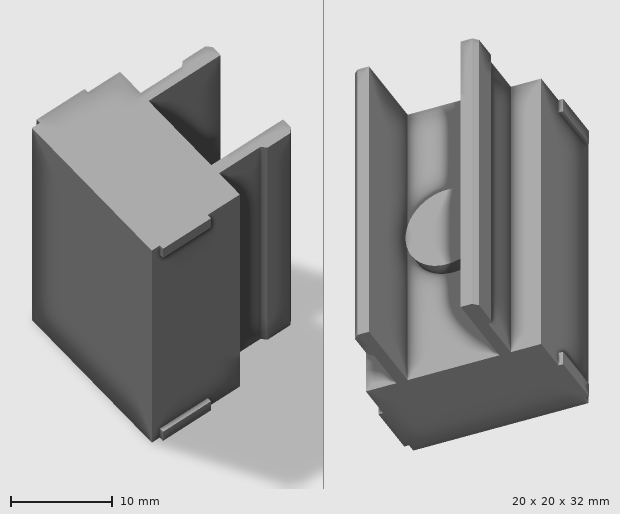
import cadquery as cq

height = 32.0
overall_width = 20.0
overall_depth = 20.0
tab_projection = 0.5
block_width = overall_width - 2 * tab_projection

plate_depth = 1.0
tab_rear = 7.0
block_rear = 11.0
boss_rear = 12.5

tab_height = 1.5
boss_diameter = 9.0

leg_thickness = 1.25
leg_outer_x = 6.2
hook_projection = 0.5
hook_length = 3.85
chamfer = 0.5

root_overlap = 0.32


def make_box(width, front, rear, z_size=height, x=0.0, z=0.0):
    """Box centred at x and z, from depth front to depth rear."""
    return cq.Workplane("XY").box(width, rear - front, z_size).translate((x, (front + rear) / 2, z))


def make_tab(side, end):
    """Corner tab on one side of the block, flush with its top or bottom end."""
    x = side * (block_width + tab_projection) / 2
    z = end * (height - tab_height) / 2
    return make_box(tab_projection, plate_depth, tab_rear, tab_height, x, z)


def make_boss():
    """Round boss in the middle of the rear face."""
    length = boss_rear - block_rear + root_overlap
    boss = cq.Workplane("XZ").circle(boss_diameter / 2).extrude(-length)
    return boss.translate((0, block_rear - root_overlap, 0))


def make_leg(side):
    """Rear leg with an outward hook, sloped at its root and chamfered at its tip."""
    root = block_rear - root_overlap
    inner_x = leg_outer_x - leg_thickness
    hook_x = leg_outer_x + hook_projection
    hook_root = overall_depth - hook_length
    outline = [
        (inner_x, root),
        (leg_outer_x, root),
        (leg_outer_x, hook_root),
        (hook_x, hook_root + hook_projection),
        (hook_x, overall_depth - chamfer),
        (hook_x - chamfer, overall_depth),
        (inner_x, overall_depth),
    ]
    points = [(side * x, y) for x, y in outline]
    return cq.Workplane("XY").polyline(points).close().extrude(height / 2, both=True)


def make_housing():
    """Block with corner tabs, a rear boss and two snap legs."""
    housing = make_box(block_width, plate_depth, block_rear).union(make_boss())
    for side in (-1, 1):
        housing = housing.union(make_leg(side))
        for end in (-1, 1):
            housing = housing.union(make_tab(side, end))
    return housing


def make_front_plate():
    """Flat plate against the front of the housing."""
    return make_box(block_width, 0.0, plate_depth)


housing = make_housing()
front_plate = make_front_plate()

result = cq.Compound.makeCompound([housing.val(), front_plate.val()])